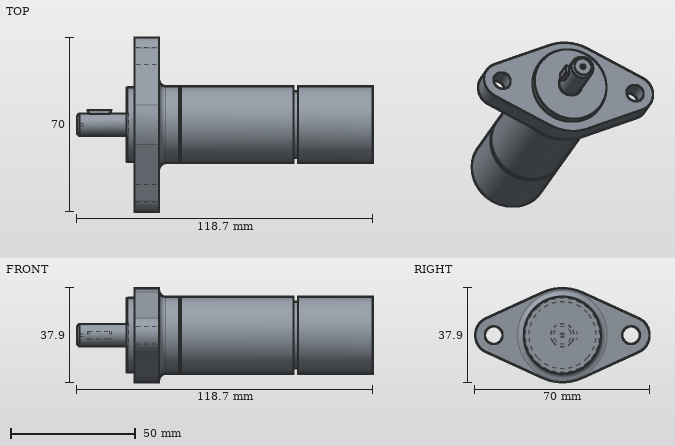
import cadquery as cq
import math

pilot_start = 20.0
flange_start = 23.0
flange_end = 33.0
gear_groove_start = 41.0
gear_groove_end = 41.7
rear_groove_start = 86.9
rear_groove_end = 88.7
body_end = 118.7

body_diameter = 31.0
gear_groove_diameter = 27.0
rear_groove_diameter = 26.8
body_fillet = 2.5
pilot_diameter = 30.0
pilot_taper_length = 0.7
pilot_taper_depth = 0.15
shaft_clearance_diameter = 9.5
shaft_clearance_depth = 0.7

shaft_diameter = 9.0
shaft_chamfer = 1.0
centre_drill_diameter = 1.0
centre_drill_depth = 2.4
countersink_diameter = 1.9
countersink_angle = 60

key_width = 3.0
key_disc_diameter = 10.0
key_centre_x = 9.0
key_centre_y = 7.2
key_top_y = 5.9

flange_length = 70.0
flange_height = 37.9
lobe_radius = 7.5
mounting_hole_diameter = 7.0


def cylinder(start, end, diameter):
    """Cylinder on the X axis between two axial stations."""
    return cq.Workplane("YZ", origin=(start, 0, 0)).circle(diameter / 2).extrude(end - start)


def make_housing():
    """Grooved body and its concave fillet into the rear of the flange."""
    radius = body_diameter / 2
    fillet_end = flange_end + body_fillet
    fillet_middle = body_fillet * (1 - math.sqrt(0.5))
    blend = (
        cq.Workplane("XY")
        .moveTo(flange_end, 0)
        .lineTo(flange_end, radius + body_fillet)
        .threePointArc(
            (flange_end + fillet_middle, radius + fillet_middle),
            (fillet_end, radius),
        )
        .lineTo(fillet_end, 0)
        .close()
        .revolve(360, (0, 0, 0), (1, 0, 0))
    )
    housing = cylinder(flange_end, body_end, body_diameter).union(blend)
    for start, end, diameter in (
        (gear_groove_start, gear_groove_end, gear_groove_diameter),
        (rear_groove_start, rear_groove_end, rear_groove_diameter),
    ):
        ring = cylinder(start, end, body_diameter).cut(cylinder(start, end, diameter))
        housing = housing.cut(ring)
    return housing


def make_flange():
    """Central disc joined to two end lobes by straight tangent sides."""
    centre_radius = flange_height / 2
    lobe_y = flange_length / 2 - lobe_radius
    tangent_sine = (centre_radius - lobe_radius) / lobe_y
    tangent_cosine = math.sqrt(1 - tangent_sine**2)
    centre_y = centre_radius * tangent_sine
    centre_z = centre_radius * tangent_cosine
    lobe_tangent_y = lobe_y + lobe_radius * tangent_sine
    lobe_tangent_z = lobe_radius * tangent_cosine
    return (
        cq.Workplane("YZ", origin=(flange_start, 0, 0))
        .moveTo(-centre_y, centre_z)
        .threePointArc((0, centre_radius), (centre_y, centre_z))
        .lineTo(lobe_tangent_y, lobe_tangent_z)
        .threePointArc((flange_length / 2, 0), (lobe_tangent_y, -lobe_tangent_z))
        .lineTo(centre_y, -centre_z)
        .threePointArc((0, -centre_radius), (-centre_y, -centre_z))
        .lineTo(-lobe_tangent_y, -lobe_tangent_z)
        .threePointArc((-flange_length / 2, 0), (-lobe_tangent_y, lobe_tangent_z))
        .close()
        .pushPoints([(-lobe_y, 0), (lobe_y, 0)])
        .circle(mounting_hole_diameter / 2)
        .extrude(flange_end - flange_start)
    )


def make_pilot():
    """Locating spigot with a slightly tapered front edge and a recess around the shaft."""
    spigot = (
        cylinder(pilot_start, flange_start, pilot_diameter)
        .faces("<X")
        .edges()
        .chamfer(pilot_taper_length, pilot_taper_depth)
    )
    recess = cylinder(pilot_start, pilot_start + shaft_clearance_depth, shaft_clearance_diameter)
    return spigot.cut(recess)


def make_shaft():
    """Chamfered shaft with a centre drilling in its tip."""
    shaft = cylinder(0, flange_start, shaft_diameter).faces("<X").chamfer(shaft_chamfer)
    return (
        shaft.faces("<X")
        .workplane()
        .cskHole(centre_drill_diameter, countersink_diameter, countersink_angle, centre_drill_depth)
    )


def make_key():
    """Disc segment standing flat-topped out of the shaft."""
    disc = (
        cq.Workplane("XY")
        .center(key_centre_x, key_centre_y)
        .circle(key_disc_diameter / 2)
        .extrude(key_width / 2, both=True)
    )
    cap = (
        cq.Workplane("XY")
        .box(key_disc_diameter, key_disc_diameter, key_width)
        .translate((key_centre_x, key_top_y + key_disc_diameter / 2, 0))
    )
    return disc.cut(cap)


result = (
    make_housing()
    .union(make_flange())
    .union(make_pilot())
    .union(make_shaft())
    .union(make_key())
)